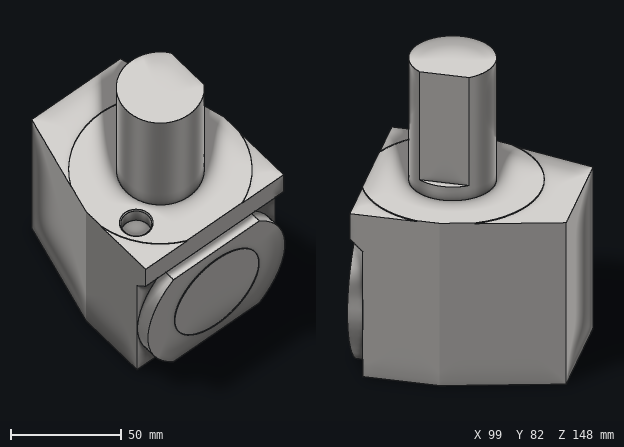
import cadquery as cq

total_height = 148.0
body_width = 82.0
plate_top = 84.7
plate_step = 0.5
body_height = plate_top - plate_step

nose_x = -59.2
nose_width = 52.7
taper_end_x = -3.7
overhang_x = 38.2
mount_face_x = 32.1
overhang_bottom = 71.0
undercut_top = 65.1

plate_diameter = 83.2
shank_diameter = 40.0
shank_flat_y = 16.3
shank_collar_height = 7.1

hole_x = 15.8
hole_y = -27.7
hole_diameter = 14.0
hole_chamfer = 0.6
hole_depth = 7.7

flange_diameter = 81.4
flange_height = 63.5
flange_face_x = 39.4
boss_diameter = 50.0
boss_face_x = 39.8
flange_axis_z = flange_height / 2


def block(height):
    """Block with a tapered nose and an undercut mounting face."""
    solid = (
        cq.Workplane("XY")
        .moveTo(nose_x, -nose_width / 2)
        .lineTo(taper_end_x, -body_width / 2)
        .lineTo(overhang_x, -body_width / 2)
        .lineTo(overhang_x, body_width / 2)
        .lineTo(taper_end_x, body_width / 2)
        .lineTo(nose_x, nose_width / 2)
        .close()
        .extrude(height)
    )
    undercut = (
        cq.Workplane("XZ")
        .moveTo(mount_face_x, 0)
        .lineTo(overhang_x, 0)
        .lineTo(overhang_x, overhang_bottom)
        .lineTo(mount_face_x, undercut_top)
        .close()
        .extrude(body_width / 2, both=True)
    )
    return solid.cut(undercut)


def seat_plate():
    """Thin raised disc, trimmed to the block outline."""
    disc = (
        cq.Workplane("XY")
        .workplane(offset=body_height)
        .circle(plate_diameter / 2)
        .extrude(plate_step)
    )
    return disc.intersect(block(plate_top))


def shank():
    """Cylinder with a flat on +Y that stops above a full round collar."""
    radius = shank_diameter / 2
    flat_bottom = plate_top + shank_collar_height
    cylinder = (
        cq.Workplane("XY")
        .workplane(offset=body_height)
        .circle(radius)
        .extrude(total_height - body_height)
    )
    flat = cq.Workplane("XY").box(
        shank_diameter, radius - shank_flat_y, total_height - flat_bottom, centered=(True, False, False)
    )
    return cylinder.cut(flat.translate((0, shank_flat_y, flat_bottom)))


def face_disc(diameter, end_x):
    """Disc standing on the mounting face, reaching end_x."""
    return (
        cq.Workplane("YZ", origin=(mount_face_x, 0, flange_axis_z))
        .circle(diameter / 2)
        .extrude(end_x - mount_face_x)
    )


def flange():
    """Large disc cut flat at top and bottom, with a low round boss."""
    band = cq.Workplane("XY").box(boss_face_x, body_width, flange_height, centered=(False, True, False))
    return face_disc(flange_diameter, flange_face_x).intersect(band).union(face_disc(boss_diameter, boss_face_x))


def chamfered_hole():
    """Blind hole with a chamfered rim, as a cutting tool."""
    radius = hole_diameter / 2
    profile = (
        cq.Workplane("XZ")
        .lineTo(radius + hole_chamfer, 0)
        .lineTo(radius, -hole_chamfer)
        .lineTo(radius, -hole_depth)
        .lineTo(0, -hole_depth)
        .close()
    )
    return profile.revolve(360, (0, 0), (0, 1)).translate((hole_x, hole_y, plate_top))


result = block(body_height).union(seat_plate()).union(shank()).union(flange()).cut(chamfered_hole())